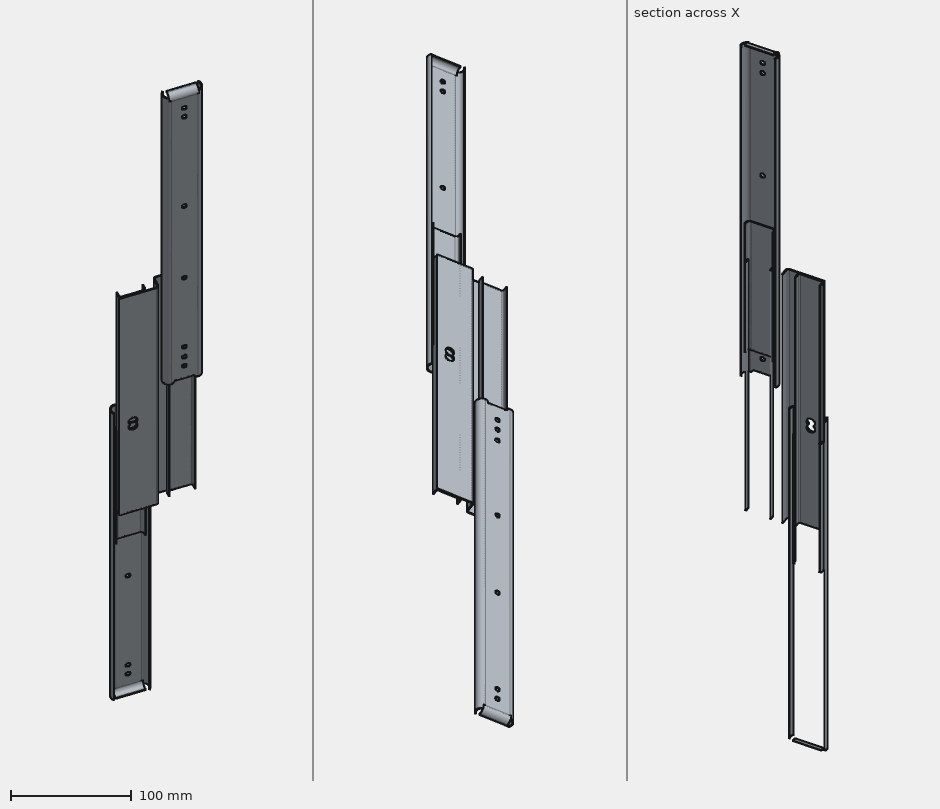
import cadquery as cq
import math


TOTAL_LENGTH = 738.0
TOTAL_DEPTH = 12.5
TOTAL_WIDTH = 81.0
SHEET = 1.1
BACK = TOTAL_DEPTH / 2

RAIL_LENGTH = 359.5
RAIL_WIDTH = 35.5
FLANGE_RADIUS = 6.0
FLANGE_OVERSWING = 43
RAIL_Y = (TOTAL_WIDTH - RAIL_WIDTH) / 2
RAIL_TOP = TOTAL_LENGTH / 2
RAIL_BOTTOM = RAIL_TOP - RAIL_LENGTH

STOP_WIDTH = 26.5
STOP_REACH = 7.5
STOP_BEND_RADIUS = 6.0
STOP_SETBACK = 2.0

HOLE_DIAMETER = 4.5
HOLE_HEIGHTS = (350.0, 339.0, 227.0, 138.0, 52.0, 39.0, 28.0)
NOTCH_MOUTH_WIDTH = 21.5
NOTCH_FLOOR_WIDTH = 17.0
NOTCH_DEPTH = 3.0

MIDDLE_LENGTH = 270.0
CHANNEL_WIDTH = 24.0
CHANNEL_DEPTH = 7.0
CHANNEL_CORNER_RADIUS = 2.0
S_BEND_RADIUS = 2.6
ACCESS_HOLE_DIAMETER = 8.0
ACCESS_HOLE_HEIGHTS = (29.0, 22.0)

CAGE_TOP = 175.0
CAGE_BOTTOM = 35.5
CAGE_WIDTH = 27.0
CAGE_DEPTH = 6.0
CAGE_CORNER_RADIUS = 4.0
CAGE_CLEARANCE = 1.0


def upright_prism(outline, bottom, top):
    """Extrude an XY outline between two heights."""
    return outline.extrude(top - bottom).translate((0, 0, bottom))


def bent_channel(width, depth, corner_radius, bottom, top):
    """C-channel with rounded bends, centred on Y = 0; its web's outer face is at X = 0, flanges toward -X."""
    half = width / 2
    inner_radius = corner_radius - SHEET
    outline = (
        cq.Workplane("XY")
        .moveTo(-depth, -half)
        .lineTo(-corner_radius, -half)
        .radiusArc((0, corner_radius - half), -corner_radius)
        .lineTo(0, half - corner_radius)
        .radiusArc((-corner_radius, half), -corner_radius)
        .lineTo(-depth, half)
        .lineTo(-depth, half - SHEET)
        .lineTo(-corner_radius, half - SHEET)
        .radiusArc((-SHEET, half - corner_radius), inner_radius)
        .lineTo(-SHEET, corner_radius - half)
        .radiusArc((-corner_radius, SHEET - half), inner_radius)
        .lineTo(-depth, SHEET - half)
        .close()
    )
    return upright_prism(outline, bottom, top)


def holes_along_x(diameter, y, heights):
    """Cylinders through the whole depth of the slide."""
    return (
        cq.Workplane("YZ", origin=(-BACK, 0, 0))
        .pushPoints([(y, z) for z in heights])
        .circle(diameter / 2)
        .extrude(TOTAL_DEPTH)
    )


def flange_point(side, radius, angle):
    """Point on a flange arc; the angle runs from 0 at the web, past 90 degrees, toward the flange tip."""
    turn = math.radians(angle)
    centre_y = RAIL_WIDTH / 2 - FLANGE_RADIUS
    return radius * math.cos(turn) - FLANGE_RADIUS, side * (centre_y + radius * math.sin(turn))


def rail_profile():
    """Flat web, outer face at X = 0, with a round flange curling toward -X on either side."""
    tip_angle = 90 + FLANGE_OVERSWING
    inner_radius = FLANGE_RADIUS - SHEET

    def on_outside(side, angle):
        return flange_point(side, FLANGE_RADIUS, angle)

    def on_inside(side, angle):
        return flange_point(side, inner_radius, angle)

    return (
        cq.Workplane("XY")
        .moveTo(*on_outside(-1, tip_angle))
        .threePointArc(on_outside(-1, tip_angle / 2), on_outside(-1, 0))
        .lineTo(*on_outside(1, 0))
        .threePointArc(on_outside(1, tip_angle / 2), on_outside(1, tip_angle))
        .lineTo(*on_inside(1, tip_angle))
        .threePointArc(on_inside(1, tip_angle / 2), on_inside(1, 0))
        .lineTo(*on_inside(-1, 0))
        .threePointArc(on_inside(-1, tip_angle / 2), on_inside(-1, tip_angle))
        .close()
    )


def end_stop():
    """Web end bent toward -X, with the curved bend that joins it to the web."""
    inner_radius = STOP_BEND_RADIUS - SHEET
    bend_height = RAIL_TOP - STOP_BEND_RADIUS
    return (
        cq.Workplane("XZ")
        .moveTo(0, bend_height)
        .radiusArc((-STOP_BEND_RADIUS, RAIL_TOP), -STOP_BEND_RADIUS)
        .lineTo(-STOP_REACH, RAIL_TOP)
        .lineTo(-STOP_REACH, RAIL_TOP - SHEET)
        .lineTo(-STOP_BEND_RADIUS, RAIL_TOP - SHEET)
        .radiusArc((-SHEET, bend_height), inner_radius)
        .close()
        .extrude(STOP_WIDTH / 2, both=True)
    )


def end_notch():
    """Chamfered cutter for the inner end of the rail web."""
    floor = RAIL_BOTTOM + NOTCH_DEPTH
    return (
        cq.Workplane("YZ", origin=(-SHEET, 0, 0))
        .moveTo(-NOTCH_MOUTH_WIDTH / 2, RAIL_BOTTOM)
        .lineTo(NOTCH_MOUTH_WIDTH / 2, RAIL_BOTTOM)
        .lineTo(NOTCH_FLOOR_WIDTH / 2, floor)
        .lineTo(-NOTCH_FLOOR_WIDTH / 2, floor)
        .close()
        .extrude(SHEET)
    )


def web_end_relief():
    """Cutter that removes the straight web end, where the bent stop replaces it."""
    bend_height = RAIL_TOP - STOP_BEND_RADIUS
    return (
        cq.Workplane("XY")
        .box(STOP_REACH, STOP_WIDTH, STOP_BEND_RADIUS, centered=(False, True, False))
        .translate((-STOP_REACH, 0, bend_height))
    )


def make_rail():
    """Upper rail in its place."""
    rail = upright_prism(rail_profile(), RAIL_BOTTOM, RAIL_TOP - STOP_SETBACK)
    rail = rail.cut(web_end_relief()).union(end_stop()).cut(end_notch())
    rail = rail.translate((BACK, RAIL_Y, 0))
    return rail.cut(holes_along_x(HOLE_DIAMETER, RAIL_Y, HOLE_HEIGHTS))


def make_cage():
    """Upper cage in its place, just inside the rail web."""
    cage = bent_channel(CAGE_WIDTH, CAGE_DEPTH, CAGE_CORNER_RADIUS, CAGE_BOTTOM, CAGE_TOP)
    return cage.translate((BACK - SHEET - CAGE_CLEARANCE, RAIL_Y, 0))


def make_channel():
    """Upper inner channel in its place: its web lies on the S-plate and it opens toward +X."""
    half_length = MIDDLE_LENGTH / 2
    channel = bent_channel(CHANNEL_WIDTH, CHANNEL_DEPTH, CHANNEL_CORNER_RADIUS, -half_length, half_length)
    channel = turned_half_around(channel).translate((SHEET - BACK, RAIL_Y, 0))
    return channel.cut(holes_along_x(ACCESS_HOLE_DIAMETER, RAIL_Y, ACCESS_HOLE_HEIGHTS))


def make_s_plate():
    """Two flat wings on opposite faces of the slide, joined by a wall with rounded bends."""
    wing_end = RAIL_Y + CHANNEL_WIDTH / 2
    half_sheet = SHEET / 2
    inner_radius = S_BEND_RADIUS - SHEET
    bend_x = BACK - S_BEND_RADIUS
    bend_y = S_BEND_RADIUS - half_sheet
    half_length = MIDDLE_LENGTH / 2
    outline = (
        cq.Workplane("XY")
        .moveTo(-BACK, wing_end)
        .lineTo(-BACK, bend_y)
        .radiusArc((-bend_x, -half_sheet), -S_BEND_RADIUS)
        .lineTo(bend_x, -half_sheet)
        .radiusArc((BACK - SHEET, -bend_y), inner_radius)
        .lineTo(BACK - SHEET, -wing_end)
        .lineTo(BACK, -wing_end)
        .lineTo(BACK, -bend_y)
        .radiusArc((bend_x, half_sheet), -S_BEND_RADIUS)
        .lineTo(-bend_x, half_sheet)
        .radiusArc((SHEET - BACK, bend_y), inner_radius)
        .lineTo(SHEET - BACK, wing_end)
        .close()
    )
    plate = upright_prism(outline, -half_length, half_length)
    access_holes = holes_along_x(ACCESS_HOLE_DIAMETER, RAIL_Y, ACCESS_HOLE_HEIGHTS)
    return plate.cut(access_holes).cut(turned_end_for_end(access_holes))


def turned_half_around(body):
    """Half turn about the Z axis."""
    return body.rotate((0, 0, 0), (0, 0, 1), 180)


def turned_end_for_end(body):
    """Move an upper part, symmetric about its own Y centre, to the matching lower place."""
    return body.translate((0, -2 * RAIL_Y, 0)).rotate((0, 0, 0), (0, 1, 0), 180)


s_plate = make_s_plate()
upper_rail = make_rail()
upper_cage = make_cage()
upper_channel = make_channel()

bodies = s_plate.solids().vals()
for upper_body in (upper_rail, upper_cage, upper_channel):
    bodies += upper_body.solids().vals()
    bodies += turned_end_for_end(upper_body).solids().vals()

result = cq.Compound.makeCompound(bodies)